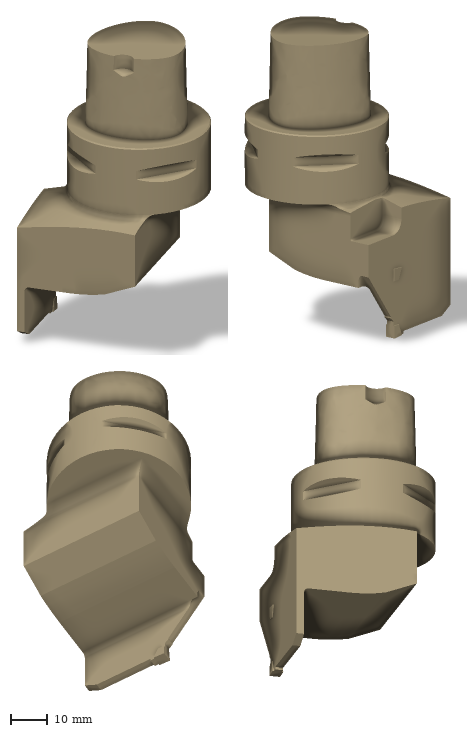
import cadquery as cq
import math


FLANGE_RADIUS = 20.0
FLANGE_HEIGHT = 20.0
FLANGE_CHAMFER = 0.3
GRIP_FLOOR = 17.7
GRIP_HEIGHT = 2.5
GRIP_FLARE = 1.3
GRIP_CENTER_Z = -8.0
GRIP_ANGLES = (45, 135, 225, 315)

SHANK_HEIGHT = 24.0
SHANK_BASE_RADIUS = 14.2
SHANK_TAPER = 1 / 20
SHANK_TOP_RADIUS = SHANK_BASE_RADIUS - SHANK_HEIGHT * SHANK_TAPER / 2
LOBE_HEIGHT = 0.8
LOBE_POINTS = 48
KEY_RADIUS = 3.1
KEY_CENTER_Y = -13.8
KEY_DEPTH = 4.2
KEY_TIP_DEPTH = 1.9

HEAD_LEFT = -26.6
HEAD_RIGHT = 8.1
HEAD_FRONT = -25.95
HEAD_BACK = 11.4
HEAD_BOTTOM = -43.2
HEAD_SLOPE_START_X = -10.9
HEAD_SLOPE_KINK = (-0.9, -42.1)
HEAD_RIGHT_BOTTOM = -38.5
FLARE_RADIUS = 2.85
NECK_RADIUS = 1.4
CONE_ANGLE = 15.0
CONE_OUTER_RADIUS = 42.0
CUT_REACH = 84.0

BLADE_THICKNESS = 2.3
BLADE_RIGHT = HEAD_LEFT + BLADE_THICKNESS
BLADE_BOTTOM = -59.0
BLADE_FILLET = 1.3
BLADE_CHAMFER_Y = 3.9
BLADE_CHAMFER_Z = 2.2
BLADE_SLANT_TOP = -39.5
BLADE_SLANT_END_Y = 0.0
BLADE_SLANT_END_Z = -55.1

POCKET_WALL_X = -20.3
POCKET_FLOOR_Z = -30.1
POCKET_FRONT_Y = -3.6
POCKET_CORNER = 3.8
POCKET_FILLET = 0.6
EDGE_TOLERANCE = 0.1

INSERT_FRONT_Y = -4.6
INSERT_BACK_Y = 0.0
INSERT_BULGE_Y = 1.2
INSERT_CENTER_Z = -49.9
INSERT_HALF_LENGTH = 9.8
BULGE_HALF_LENGTH = 4.0
TIP_HALF_LENGTH = 10.1
TIP_INNER_HALF = 6.5
TIP_STEP_Y = -2.1
TIP_END_Y = -3.4
TIP_OVERHANG = 0.4
TIP_ROOT_OVERHANG = 0.25


def make_box(x_range, y_range, z_range):
    size = [high - low for low, high in (x_range, y_range, z_range)]
    return cq.Workplane("XY").box(*size, centered=False).translate((x_range[0], y_range[0], z_range[0]))


def lobed_outline(mean_radius):
    """Points of a constant-width three-lobed curve with one lobe towards +Y."""
    points = []
    for i in range(LOBE_POINTS):
        angle = 2 * math.pi * i / LOBE_POINTS
        phase = 3 * (angle - math.pi / 2)
        reach = mean_radius + LOBE_HEIGHT * math.cos(phase)
        slope = -3 * LOBE_HEIGHT * math.sin(phase)
        x = reach * math.cos(angle) - slope * math.sin(angle)
        y = reach * math.sin(angle) + slope * math.cos(angle)
        points.append((x, y))
    return points


def make_shank():
    shank = (
        cq.Workplane("XY")
        .spline(lobed_outline(SHANK_BASE_RADIUS), periodic=True).close()
        .workplane(offset=SHANK_HEIGHT)
        .spline(lobed_outline(SHANK_TOP_RADIUS), periodic=True).close()
        .loft(combine=True)
    )
    keyway = (
        cq.Workplane("XZ")
        .polyline([
            (0, SHANK_HEIGHT),
            (KEY_RADIUS, SHANK_HEIGHT),
            (KEY_RADIUS, SHANK_HEIGHT - KEY_DEPTH),
            (0, SHANK_HEIGHT - KEY_DEPTH - KEY_TIP_DEPTH),
        ])
        .close()
        .revolve(360, (0, 0, 0), (0, 1, 0))
        .translate((0, KEY_CENTER_Y, 0))
    )
    return shank.cut(keyway)


def make_flange():
    flange = cq.Workplane("XY").circle(FLANGE_RADIUS).extrude(-FLANGE_HEIGHT)
    flange = flange.faces(">Z").chamfer(FLANGE_CHAMFER)
    slope = GRIP_FLARE / (FLANGE_RADIUS - GRIP_FLOOR)
    outer = FLANGE_RADIUS + GRIP_FLARE
    half = GRIP_HEIGHT / 2
    outer_half = half + slope * (outer - GRIP_FLOOR)
    notch = (
        cq.Workplane("XZ")
        .polyline([
            (GRIP_FLOOR, GRIP_CENTER_Z - half),
            (outer, GRIP_CENTER_Z - outer_half),
            (outer, GRIP_CENTER_Z + outer_half),
            (GRIP_FLOOR, GRIP_CENTER_Z + half),
        ])
        .close()
        .extrude(FLANGE_RADIUS, both=True)
    )
    for angle in GRIP_ANGLES:
        flange = flange.cut(notch.rotate((0, 0, 0), (0, 0, 1), angle))
    return flange


def make_head_block():
    """Head and blade as one front outline, with both walls flaring out to the flange."""
    flare_z = -FLANGE_HEIGHT - FLARE_RADIUS
    flare_x = HEAD_RIGHT + FLARE_RADIUS
    flare_y = HEAD_BACK + FLARE_RADIUS
    depth = HEAD_BACK - HEAD_FRONT
    block = (
        cq.Workplane("XZ", origin=(0, HEAD_BACK, 0))
        .moveTo(HEAD_LEFT, -FLANGE_HEIGHT)
        .lineTo(HEAD_LEFT, BLADE_BOTTOM)
        .lineTo(BLADE_RIGHT, BLADE_BOTTOM)
        .lineTo(BLADE_RIGHT, HEAD_BOTTOM - BLADE_FILLET)
        .radiusArc((BLADE_RIGHT + BLADE_FILLET, HEAD_BOTTOM), BLADE_FILLET)
        .lineTo(HEAD_SLOPE_START_X, HEAD_BOTTOM)
        .tangentArcPoint(HEAD_SLOPE_KINK, relative=False)
        .lineTo(HEAD_RIGHT, HEAD_RIGHT_BOTTOM)
        .lineTo(HEAD_RIGHT, -FLANGE_HEIGHT)
        .close()
        .extrude(depth)
    )
    flare = make_box((HEAD_LEFT, flare_x), (HEAD_FRONT, flare_y), (flare_z, -FLANGE_HEIGHT))
    right_round = cq.Workplane("XZ").center(flare_x, flare_z).circle(FLARE_RADIUS).extrude(CUT_REACH, both=True)
    back_round = cq.Workplane("YZ").center(flare_y, flare_z).circle(FLARE_RADIUS).extrude(CUT_REACH, both=True)
    return block.union(flare.cut(right_round).cut(back_round))


def make_cone_envelope():
    """Solid under the conical head top, rising in a concave round to the flange wall."""
    angle = math.radians(CONE_ANGLE)
    neck_end_r = FLANGE_RADIUS + NECK_RADIUS * (1 - math.sin(angle))
    neck_end_z = -FLANGE_HEIGHT - NECK_RADIUS * math.cos(angle)
    outer_z = neck_end_z - (CONE_OUTER_RADIUS - neck_end_r) * math.tan(angle)
    return (
        cq.Workplane("XZ")
        .moveTo(0, -FLANGE_HEIGHT)
        .lineTo(FLANGE_RADIUS, -FLANGE_HEIGHT)
        .radiusArc((neck_end_r, neck_end_z), -NECK_RADIUS)
        .lineTo(CONE_OUTER_RADIUS, outer_z)
        .lineTo(CONE_OUTER_RADIUS, BLADE_BOTTOM)
        .lineTo(0, BLADE_BOTTOM)
        .close()
        .revolve(360, (0, 0, 0), (0, 1, 0))
    )


def make_pocket():
    pocket = make_box(
        (HEAD_LEFT, POCKET_WALL_X),
        (POCKET_FRONT_Y, HEAD_BACK + FLARE_RADIUS),
        (POCKET_FLOOR_Z, -FLANGE_HEIGHT),
    )
    pocket = pocket.edges("|X and <Y and <Z").fillet(POCKET_CORNER)
    inner_edge = cq.selectors.BoxSelector(
        (POCKET_WALL_X - EDGE_TOLERANCE, POCKET_FRONT_Y - EDGE_TOLERANCE, POCKET_FLOOR_Z - EDGE_TOLERANCE),
        (POCKET_WALL_X + EDGE_TOLERANCE, HEAD_BACK, -FLANGE_HEIGHT - POCKET_FILLET),
    )
    return pocket.edges(inner_edge).fillet(POCKET_FILLET)


def make_blade_trims():
    """Slanted back edge and chamfered front corner of the blade."""
    slant_rate = (HEAD_BACK - BLADE_SLANT_END_Y) / (BLADE_SLANT_TOP - BLADE_SLANT_END_Z)
    slant_bottom_y = BLADE_SLANT_END_Y - slant_rate * (BLADE_SLANT_END_Z - BLADE_BOTTOM)
    slant = (
        cq.Workplane("YZ", origin=(HEAD_LEFT, 0, 0))
        .polyline([
            (HEAD_BACK, BLADE_SLANT_TOP),
            (HEAD_BACK, BLADE_BOTTOM),
            (slant_bottom_y, BLADE_BOTTOM),
        ])
        .close()
        .extrude(BLADE_THICKNESS + BLADE_FILLET)
    )
    slant = slant.faces(">X").edges("not(|Y or |Z)").fillet(BLADE_FILLET)
    chamfer = (
        cq.Workplane("YZ", origin=(HEAD_LEFT, 0, 0))
        .polyline([
            (HEAD_FRONT, BLADE_BOTTOM),
            (HEAD_FRONT, BLADE_BOTTOM + BLADE_CHAMFER_Z),
            (HEAD_FRONT + BLADE_CHAMFER_Y, BLADE_BOTTOM),
        ])
        .close()
        .extrude(BLADE_THICKNESS)
    )
    return slant.union(chamfer)


def make_insert():
    bulge_end = BULGE_HALF_LENGTH + INSERT_BULGE_Y - INSERT_BACK_Y
    core = (
        cq.Workplane("YZ", origin=(HEAD_LEFT, 0, INSERT_CENTER_Z))
        .polyline([
            (INSERT_FRONT_Y, -INSERT_HALF_LENGTH),
            (INSERT_BACK_Y, -INSERT_HALF_LENGTH),
            (INSERT_BACK_Y, -bulge_end),
            (INSERT_BULGE_Y, -BULGE_HALF_LENGTH),
            (INSERT_BULGE_Y, BULGE_HALF_LENGTH),
            (INSERT_BACK_Y, bulge_end),
            (INSERT_BACK_Y, INSERT_HALF_LENGTH),
            (INSERT_FRONT_Y, INSERT_HALF_LENGTH),
        ])
        .close()
        .extrude(BLADE_THICKNESS)
    )
    for side in (-1, 1):
        tip = (
            cq.Workplane("YZ", origin=(HEAD_LEFT - TIP_OVERHANG, 0, INSERT_CENTER_Z))
            .polyline([
                (INSERT_BACK_Y, side * TIP_INNER_HALF),
                (TIP_STEP_Y, side * TIP_INNER_HALF),
                (TIP_END_Y, side * INSERT_HALF_LENGTH),
                (INSERT_BACK_Y, side * TIP_HALF_LENGTH),
            ])
            .close()
            .extrude(BLADE_THICKNESS + 2 * TIP_OVERHANG)
        )
        root_z = side * TIP_INNER_HALF
        end_z = side * TIP_HALF_LENGTH
        taper = (
            cq.Workplane("XZ", origin=(0, INSERT_BACK_Y, INSERT_CENTER_Z))
            .polyline([
                (HEAD_LEFT - TIP_ROOT_OVERHANG, root_z),
                (HEAD_LEFT - TIP_OVERHANG, end_z),
                (BLADE_RIGHT + TIP_OVERHANG, end_z),
                (BLADE_RIGHT + TIP_ROOT_OVERHANG, root_z),
            ])
            .close()
            .extrude(INSERT_BACK_Y - TIP_END_Y)
        )
        core = core.union(tip.intersect(taper))
    return core


def make_holder(insert):
    head = make_head_block().intersect(make_cone_envelope())
    head = head.cut(make_pocket()).cut(make_blade_trims())
    return make_flange().union(make_shank()).union(head).cut(insert)


insert = make_insert()
holder = make_holder(insert)

result = cq.Compound.makeCompound([*holder.solids().vals(), *insert.solids().vals()])